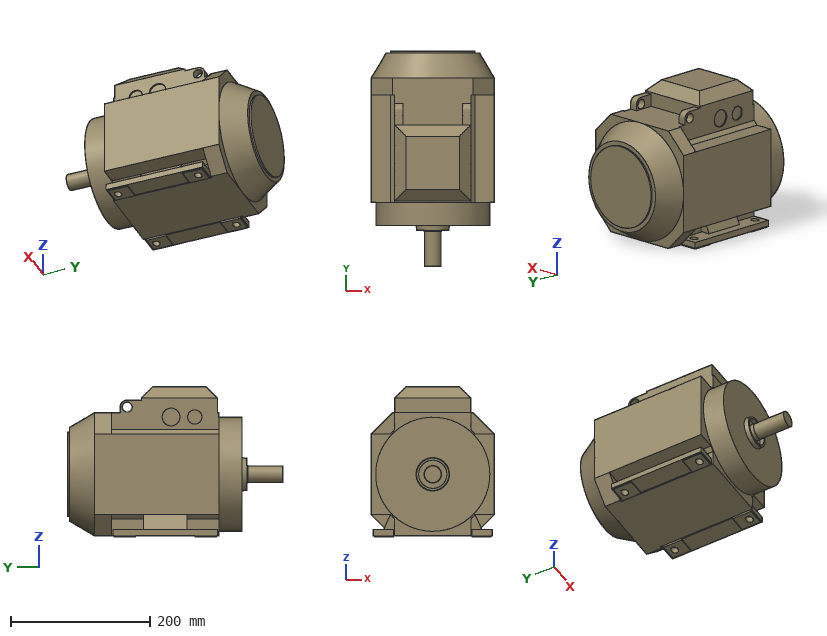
import cadquery as cq


SHAFT_LENGTH = 50.0
BOSS_FRONT_Y = 2.0
DRUM_FRONT_Y = 8.7
BODY_FRONT_Y = 42.2
REAR_BLOCK_Y = 196.0
BODY_REAR_Y = 221.0
COWL_REAR_Y = 257.0
END_DISC_REAR_Y = 259.5

SHAFT_DIAMETER = 24.0
SHOULDER_DIAMETER = 25.0
BOSS_BASE_DIAMETER = 48.0
BOSS_FRONT_DIAMETER = 46.4
BOSS_RECESS_DIAMETER = 40.5
DRUM_DIAMETER = 164.0
COWL_REAR_DIAMETER = 134.5
END_DISC_DIAMETER = 121.5

BODY_WIDTH = 177.0
HALF_WIDTH = BODY_WIDTH / 2
CORNER_CUT = 30.5
SLAB_HALF_HEIGHT = HALF_WIDTH - CORNER_CUT
CORE_HALF_WIDTH = 54.8
LEDGE_BEVEL = 6.0

BOX_FRONT_Y = 44.0
BOX_REAR_Y = 153.5
LID_BASE_Z = 109.5
LID_HEIGHT = 16.5
LID_SLOPE = 45.0

EAR_THICKNESS = 11.7
EAR_HOLE_DIAMETER = 14.0
EAR_RADIUS = 10.2
EAR_CENTER_Y = 173.8
EAR_CENTER_Z = 96.5

KNOCKOUTS = [(110.8, 25.5), (76.7, 20.5)]
KNOCKOUT_Z = 82.3
KNOCKOUT_DEPTH = 2.0

SHAFT_HEIGHT = 90.0
FOOT_OUTER_X = 85.5
FOOT_INNER_X = 56.7
FOOT_FRONT_Y = 43.8
FOOT_REAR_Y = 194.3
FOOT_TOP_Z = -79.3
PAD_INSET = 1.6
PAD_LENGTH = 31.0
GUSSET_FRONT_Y = 88.0
GUSSET_REAR_Y = 150.5
GUSSET_TOP_X = CORE_HALF_WIDTH + LEDGE_BEVEL
GUSSET_BASE_X = 70.5
FOOT_SLOT_WIDTH = 10.0
FOOT_SLOT_LENGTH = 12.5
FOOT_SLOT_X = 70.0
FOOT_SLOTS_Y = (56.0, 181.0)


def box_between(x0, x1, y0, y1, z0, z1):
    return cq.Workplane("XY").box(x1 - x0, y1 - y0, z1 - z0, centered=False).translate((x0, y0, z0))


def axial_plane(y):
    """XZ sketch plane at the given y; positive extrusion runs toward -Y."""
    return cq.Workplane("XZ", origin=(0, y, 0))


def disc(diameter, y0, y1):
    return axial_plane(y1).circle(diameter / 2).extrude(y1 - y0)


def both_sides(solid):
    return solid.union(solid.mirror("YZ"))


def make_body():
    """Octagonal rear block and a front length whose corners are stepped in to the core."""
    rear = axial_plane(BODY_REAR_Y).rect(BODY_WIDTH, BODY_WIDTH).extrude(BODY_REAR_Y - REAR_BLOCK_Y)
    rear = rear.edges("|Y").chamfer(CORNER_CUT)

    ledge_x = CORE_HALF_WIDTH + LEDGE_BEVEL
    bevel_z = SLAB_HALF_HEIGHT + LEDGE_BEVEL
    quarter = [
        (0, 0),
        (HALF_WIDTH, 0),
        (HALF_WIDTH, SLAB_HALF_HEIGHT),
        (ledge_x, SLAB_HALF_HEIGHT),
        (CORE_HALF_WIDTH, bevel_z),
        (CORE_HALF_WIDTH, HALF_WIDTH),
        (0, HALF_WIDTH),
    ]
    front = axial_plane(REAR_BLOCK_Y).polyline(quarter).close().extrude(REAR_BLOCK_Y - BODY_FRONT_Y)
    front = both_sides(front)
    front = front.union(front.mirror("XY"))
    return rear.union(front)


def make_rear_cowl():
    """Cone narrowing to the rear, closed by a thin flat disc."""
    profile = [
        (0, BODY_REAR_Y),
        (HALF_WIDTH, BODY_REAR_Y),
        (COWL_REAR_DIAMETER / 2, COWL_REAR_Y),
        (END_DISC_DIAMETER / 2, COWL_REAR_Y),
        (END_DISC_DIAMETER / 2, END_DISC_REAR_Y),
        (0, END_DISC_REAR_Y),
    ]
    return cq.Workplane("XY").polyline(profile).close().revolve(360, (0, 0, 0), (0, 1, 0))


def make_drive_end():
    """Front drum, tapered hollow bearing boss, shaft shoulder and shaft."""
    drum = disc(DRUM_DIAMETER, DRUM_FRONT_Y, BODY_FRONT_Y)
    boss_length = DRUM_FRONT_Y - BOSS_FRONT_Y
    boss = (
        axial_plane(DRUM_FRONT_Y)
        .circle(BOSS_BASE_DIAMETER / 2)
        .workplane(offset=boss_length)
        .circle(BOSS_FRONT_DIAMETER / 2)
        .loft()
    )
    recess = disc(BOSS_RECESS_DIAMETER, BOSS_FRONT_Y, DRUM_FRONT_Y)
    shoulder = disc(SHOULDER_DIAMETER, 0, DRUM_FRONT_Y)
    shaft = disc(SHAFT_DIAMETER, -SHAFT_LENGTH, 0)
    return drum.union(boss).cut(recess).union(shoulder).union(shaft)


def make_terminal_box():
    """Box on top of the core with a lid sloping at 45 degrees on all four sides."""
    length = BOX_REAR_Y - BOX_FRONT_Y
    walls = box_between(
        -CORE_HALF_WIDTH, CORE_HALF_WIDTH, BOX_FRONT_Y, BOX_REAR_Y, SLAB_HALF_HEIGHT, LID_BASE_Z
    )
    lid = (
        cq.Workplane("XY", origin=(0, (BOX_FRONT_Y + BOX_REAR_Y) / 2, LID_BASE_Z))
        .rect(2 * CORE_HALF_WIDTH, length)
        .extrude(LID_HEIGHT, taper=LID_SLOPE)
    )
    return walls.union(lid)


def make_ears():
    """Two lifting ears, flush with the box side walls."""
    side_plane = cq.Workplane("YZ", origin=(-CORE_HALF_WIDTH, 0, 0))
    rear_y = EAR_CENTER_Y + EAR_RADIUS
    ear = (
        side_plane.moveTo(BOX_REAR_Y, SLAB_HALF_HEIGHT)
        .lineTo(rear_y, SLAB_HALF_HEIGHT)
        .lineTo(rear_y, EAR_CENTER_Z)
        .radiusArc((EAR_CENTER_Y, EAR_CENTER_Z + EAR_RADIUS), -EAR_RADIUS)
        .lineTo(BOX_REAR_Y, EAR_CENTER_Z + EAR_RADIUS)
        .close()
        .extrude(EAR_THICKNESS)
    )
    return both_sides(ear)


def make_ear_holes():
    return (
        cq.Workplane("YZ")
        .center(EAR_CENTER_Y, EAR_CENTER_Z)
        .circle(EAR_HOLE_DIAMETER / 2)
        .extrude(CORE_HALF_WIDTH, both=True)
    )


def make_knockouts():
    """Shallow round recesses in both side walls of the terminal box."""
    cutters = cq.Workplane("XY")
    for y, diameter in KNOCKOUTS:
        wall = cq.Workplane("YZ", origin=(-CORE_HALF_WIDTH, y, KNOCKOUT_Z))
        cutters = cutters.union(wall.circle(diameter / 2).extrude(KNOCKOUT_DEPTH))
    return both_sides(cutters)


def make_feet():
    """Foot rails with two pads and two slotted holes each, joined to the body by gussets."""
    foot = box_between(
        FOOT_INNER_X, FOOT_OUTER_X, FOOT_FRONT_Y, FOOT_REAR_Y, -HALF_WIDTH, FOOT_TOP_Z
    )
    pad_starts = (FOOT_FRONT_Y + PAD_INSET, FOOT_REAR_Y - PAD_INSET - PAD_LENGTH)
    for y in pad_starts:
        pad = box_between(
            FOOT_INNER_X, FOOT_OUTER_X - PAD_INSET, y, y + PAD_LENGTH, -SHAFT_HEIGHT, -HALF_WIDTH
        )
        foot = foot.union(pad)

    slots = (
        cq.Workplane("XY", origin=(0, 0, -SHAFT_HEIGHT))
        .pushPoints([(FOOT_SLOT_X, y) for y in FOOT_SLOTS_Y])
        .slot2D(FOOT_SLOT_LENGTH, FOOT_SLOT_WIDTH)
        .extrude(FOOT_TOP_Z + SHAFT_HEIGHT)
    )
    gusset_profile = [
        (0, -SLAB_HALF_HEIGHT),
        (GUSSET_TOP_X, -SLAB_HALF_HEIGHT),
        (GUSSET_BASE_X, FOOT_TOP_Z),
        (0, FOOT_TOP_Z),
    ]
    gusset_length = GUSSET_REAR_Y - GUSSET_FRONT_Y
    gusset = axial_plane(GUSSET_REAR_Y).polyline(gusset_profile).close().extrude(gusset_length)
    return both_sides(foot.cut(slots).union(gusset))


motor = make_body().union(make_rear_cowl()).union(make_drive_end())
motor = motor.union(make_terminal_box()).union(make_ears()).union(make_feet())
result = motor.cut(make_ear_holes()).cut(make_knockouts())